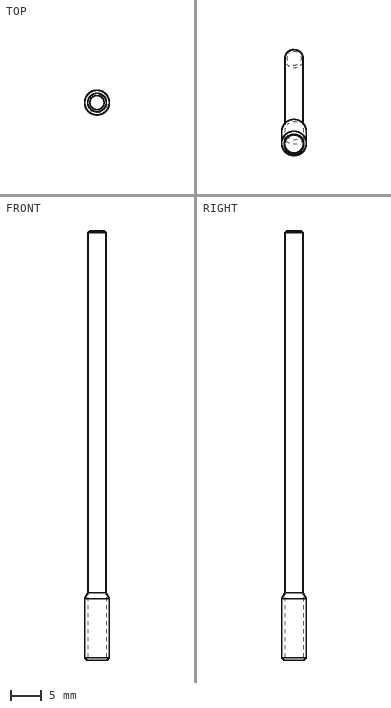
import cadquery as cq

total_length = 70.0
rod_diameter = 3.0
rod_end_chamfer = 0.35

sleeve_diameter = 4.05
sleeve_length = 11.0
sleeve_taper_height = 0.9
sleeve_bottom_chamfer = 0.4

rod_radius = rod_diameter / 2
sleeve_radius = sleeve_diameter / 2


def make_rod():
    """Long pin through the whole length, chamfered at its free upper end."""
    rod = cq.Workplane("XY").circle(rod_radius).extrude(total_length)
    return rod.faces(">Z").chamfer(rod_end_chamfer)


def make_sleeve():
    """Tube around the lower end of the rod, tapered at the top down to the rod surface."""
    shoulder_z = sleeve_length - sleeve_taper_height
    return (
        cq.Workplane("XZ")
        .moveTo(rod_radius, 0)
        .lineTo(sleeve_radius - sleeve_bottom_chamfer, 0)
        .lineTo(sleeve_radius, sleeve_bottom_chamfer)
        .lineTo(sleeve_radius, shoulder_z)
        .lineTo(rod_radius, sleeve_length)
        .close()
        .revolve(360, (0, 0, 0), (0, 1, 0))
    )


rod = make_rod()
sleeve = make_sleeve()

result = cq.Compound.makeCompound([rod.val(), sleeve.val()])